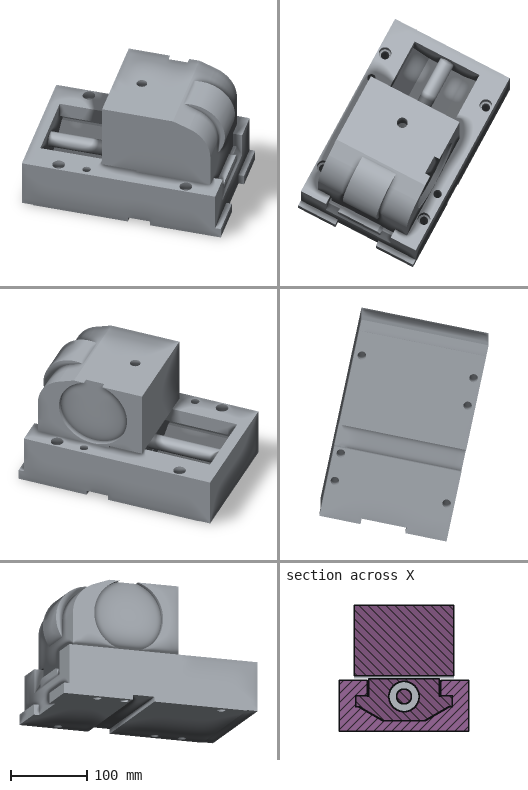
import cadquery as cq
import math

base_length = 262.5
base_width = 170.0
base_height = 67.0
lip_length = 7.5
lip_height = 14.0
lip_gap_width = 60.0
underside_groove_start = 144.0
underside_groove_length = 30.0
underside_groove_depth = 6.5
end_relief_length = 15.0
end_relief_depth = 0.7

channel_start = 15.0
mouth_width = 96.0
undercut_width = 126.0
undercut_roof = 46.6
floor_height = 14.0
floor_width = 53.2
flank_angle = 30.0
flank_top_width = 116.6
ledge_height = floor_height + (flank_top_width - floor_width) / 2 * math.tan(math.radians(flank_angle))

end_bevel_length = 7.5
end_bevel_drop = end_bevel_length / math.tan(math.radians(flank_angle))
ridge_top_width = floor_width
ridge_foot_width = 62.4
ridge_height = (ridge_foot_width - ridge_top_width) / 2 * math.tan(math.radians(flank_angle))
ridge_end = 260.1

hole_row_offset = 74.7
bolt_hole_positions = [47.2, 219.8]
bolt_hole_diameter = 11.0
counterbore_diameter = 16.5
counterbore_depth = 11.0
dowel_hole_diameter = 11.0
dowel_hole_positions = [(181.9, hole_row_offset), (85.1, -hole_row_offset)]

screw_diameter = 20.0
screw_height = 45.6
stub_length = 2.6

block_front = 103.7
block_back = 250.5
block_width = 131.4
block_bottom = 72.6
block_top = 165.06
slope_start = 199.8
slope_angle = 20.0
back_round_radius = 44.0
step_front = 150.4
step_bottom = 69.0
step_nose_front = 124.1
step_nose_width = 81.4
tongue_front = 116.5
neck_width = 92.6
nut_recess_diameter = 39.0
nut_recess_depth = 1.0

side_recess_x = 172.8
side_recess_z = (block_top + block_bottom) / 2
side_recess_radius = 48.0
side_recess_depth = 7.6
drill_x = 139.6
drill_diameter = 14.0
drill_depth = 30.0
drill_point_angle = 118.0
roller_radius = 45.4
roller_width = 49.6
roller_x = 213.7
roller_z = 119.2


def block(x_start, x_end, width, z_start, z_end):
    """Box centred on Y = 0."""
    return cq.Workplane("XY").box(
        x_end - x_start, width, z_end - z_start, centered=(False, True, False)
    ).translate((x_start, 0, z_start))


def mirrored_section(half_outline, x_start, x_end):
    """Prism along X whose section is the half outline (Y, Z) and its mirror image."""
    other_half = [(-y, z) for y, z in reversed(half_outline)]
    section = cq.Workplane("YZ", origin=(x_start, 0, 0)).polyline(half_outline + other_half).close()
    return section.extrude(x_end - x_start)


def channel_section(neck, z_top, x_start, x_end):
    """Guide section: sloped flanks, undercut, and a neck of the given width up to z_top."""
    half_outline = [
        (floor_width / 2, floor_height),
        (flank_top_width / 2, ledge_height),
        (undercut_width / 2, ledge_height),
        (undercut_width / 2, undercut_roof),
        (neck / 2, undercut_roof),
        (neck / 2, z_top),
    ]
    return mirrored_section(half_outline, x_start, x_end)


def screw_segment(x_start, x_end):
    profile = cq.Workplane("YZ", origin=(x_start, 0, screw_height)).circle(screw_diameter / 2)
    return profile.extrude(x_end - x_start)


def bores(positions, diameter, depth):
    """Round bores going down from the top of the base."""
    top = cq.Workplane("XY", origin=(0, 0, base_height))
    return top.pushPoints(positions).circle(diameter / 2).extrude(-depth)


def make_base():
    base = block(0, base_length, base_width, 0, base_height)
    lip_end = base_length + lip_length
    base = base.union(block(base_length, lip_end, base_width, 0, lip_height))
    base = base.cut(block(base_length, lip_end, lip_gap_width, 0, lip_height))

    base = base.cut(channel_section(mouth_width, base_height, channel_start, block_back))
    base = base.cut(block(block_back, base_length, mouth_width, undercut_roof, base_height))

    bevel = (
        cq.Workplane("XZ")
        .moveTo(base_length - end_bevel_length, undercut_roof)
        .lineTo(base_length, undercut_roof)
        .lineTo(base_length, undercut_roof - end_bevel_drop)
        .close()
        .extrude(mouth_width / 2, both=True)
    )
    base = base.cut(bevel)

    ridge_half = [
        (ridge_foot_width / 2, undercut_roof - end_bevel_drop),
        (ridge_foot_width / 2, undercut_roof),
        (ridge_top_width / 2, undercut_roof + ridge_height),
    ]
    base = base.union(mirrored_section(ridge_half, block_back, ridge_end))

    groove_end = underside_groove_start + underside_groove_length
    base = base.cut(block(underside_groove_start, groove_end, base_width, 0, underside_groove_depth))
    base = base.cut(block(0, end_relief_length, base_width, 0, end_relief_depth))

    bolt_holes = [(x, side * hole_row_offset) for x in bolt_hole_positions for side in (-1, 1)]
    base = base.cut(bores(bolt_holes, bolt_hole_diameter, base_height))
    base = base.cut(bores(bolt_holes, counterbore_diameter, counterbore_depth))
    base = base.cut(bores(dowel_hole_positions, dowel_hole_diameter, base_height))

    return base.union(screw_segment(channel_start, channel_start + stub_length))


def make_upper_block():
    """Block whose top slopes down into a round at the back."""
    slope = math.radians(slope_angle)
    round_x = block_back - back_round_radius
    tangent_x = round_x + back_round_radius * math.sin(slope)
    tangent_z = block_top - (tangent_x - slope_start) * math.tan(slope)
    round_z = tangent_z - back_round_radius * math.cos(slope)
    middle = (math.pi / 2 - slope) / 2
    middle_point = (
        round_x + back_round_radius * math.cos(middle),
        round_z + back_round_radius * math.sin(middle),
    )
    return (
        cq.Workplane("XZ")
        .moveTo(block_front, block_bottom)
        .lineTo(block_front, block_top)
        .lineTo(slope_start, block_top)
        .lineTo(tangent_x, tangent_z)
        .threePointArc(middle_point, (block_back, round_z))
        .lineTo(block_back, block_bottom)
        .close()
        .extrude(block_width / 2, both=True)
    )


def make_drill_hole():
    """Blind hole with a conical drill point, bored from the top."""
    radius = drill_diameter / 2
    point_length = radius / math.tan(math.radians(drill_point_angle / 2))
    return (
        cq.Workplane("XZ", origin=(drill_x, 0, block_top))
        .lineTo(radius, 0)
        .lineTo(radius, -drill_depth)
        .lineTo(0, -drill_depth - point_length)
        .close()
        .revolve(360, (0, 0, 0), (0, 1, 0))
    )


def make_carriage():
    carriage = make_upper_block()
    carriage = carriage.union(block(step_front, block_back, block_width, step_bottom, block_bottom))
    carriage = carriage.union(block(step_nose_front, step_front, step_nose_width, step_bottom, block_bottom))
    carriage = carriage.union(channel_section(neck_width, step_bottom, tongue_front, block_back))

    roller = cq.Workplane("XZ", origin=(roller_x, 0, roller_z)).circle(roller_radius)
    carriage = carriage.union(roller.extrude(roller_width / 2, both=True))

    side_face = cq.Workplane("XZ", origin=(side_recess_x, block_width / 2, side_recess_z))
    carriage = carriage.cut(side_face.circle(side_recess_radius).extrude(side_recess_depth))

    carriage = carriage.cut(make_drill_hole())

    recess = cq.Workplane("YZ", origin=(tongue_front, 0, screw_height)).circle(nut_recess_diameter / 2)
    carriage = carriage.cut(recess.extrude(nut_recess_depth))
    return carriage.union(screw_segment(channel_start + stub_length, tongue_front + nut_recess_depth))


base = make_base()
carriage = make_carriage()

result = cq.Compound.makeCompound([base.val(), carriage.val()])